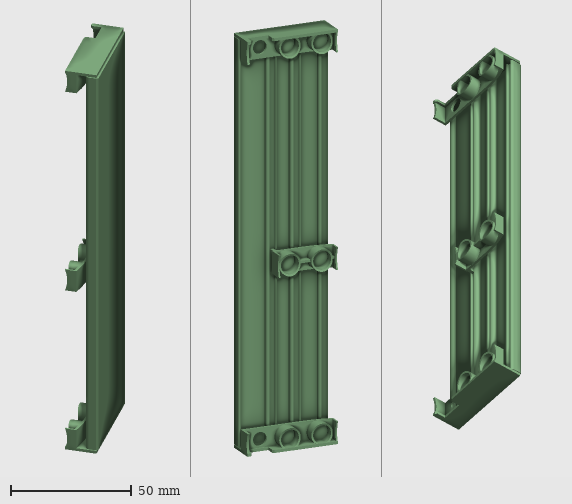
import cadquery as cq
import math

LENGTH = 181.5
WIDTH = 41.4
DEPTH = 14.3

BRACKET_HEIGHT = 10.0
FLOOR_BACK = 6.7
FLOOR_THICKNESS = 1.0
FLOOR_FRONT = FLOOR_BACK - FLOOR_THICKNESS
BEND_START = 13.6
BEND_RISE = 1.8
SIDE_WALL = 0.7
END_FAR_WALL = 1.0
SEAT_DEPTH = 0.9

AXIS_HEIGHT = BRACKET_HEIGHT / 2
BOSS_CENTRES = (6.9, 21.6)
BOSS_DIAMETER = 9.8
BORE_DIAMETER = 8.2

PLATE = 1.3
PLATE_DEPTH = 13.6
NOTCH_DEPTH = 4.7
NOTCH_LOW = 29.8
NOTCH_HIGH = 39.2
NOTCH_LEAD = 0.7
HOLE_DIAMETER = 6.2
HOLE_Y = 33.2

MIDDLE_Z = 76.2
MIDDLE_WIDTH = 27.0
RIB = 1.0
RIB_FRONT = 2.0
LEG_HALF_WIDTH = 0.7
LEG_TIP = 9.5
LEG_FLARE = 0.4
LEG_FLARE_LENGTH = 0.9
BACK_RIB_LENGTH = 5.5

END_GAP = 0.4
RAIL_START = PLATE + END_GAP
RAIL_LENGTH = LENGTH - 2 * RAIL_START
WEB_FRONT = 10.9
GROOVE_CENTRES = (2.0, 14.9, 26.0)
GROOVE_DIAMETER = 2.7
GROOVE_X = 9.0
HIGH_LIP_FRONT = 8.5
HIGH_LIP_WIDTH = 2.5
HIGH_LIP_ROUND = 1.8
LOW_LIP_FRONT = 9.0
LOW_LIP_WIDTH = 2.7
LOW_LIP_ROUND = 0.9
FAR_LIP_WIDTH = 1.6
FAR_LIP_ROUND = 1.5
BACK_BEVEL_DEPTH = 0.9
BACK_BEVEL_SIDE = 0.4


def box(x_range, y_range, z_range):
    """A box given by its low and high position on each axis."""
    sizes = [high - low for low, high in (x_range, y_range, z_range)]
    corner = (x_range[0], y_range[0], z_range[0])
    return cq.Workplane("XY").box(*sizes, centered=False).translate(corner)


def x_cylinder(diameter, y):
    """A cylinder along X through the full depth, at the height of the boss axes."""
    return cq.Workplane("YZ", origin=(0, y, AXIS_HEIGHT)).circle(diameter / 2).extrude(DEPTH)




def make_ridge(centre):
    """One ridge: a high lip on the low-Y side, a low lip beyond, and a screw groove between them."""
    z_range = (RAIL_START, RAIL_START + RAIL_LENGTH)
    near_edge = max(centre - HIGH_LIP_WIDTH, 0)
    high_lip = box((HIGH_LIP_FRONT, WEB_FRONT), (near_edge, centre), z_range)
    high_lip = high_lip.edges("|Z and <X and <Y").fillet(HIGH_LIP_ROUND)
    low_lip = box((LOW_LIP_FRONT, WEB_FRONT), (centre, centre + LOW_LIP_WIDTH), z_range)
    low_lip = low_lip.edges("|Z and <X and >Y").fillet(LOW_LIP_ROUND)
    groove = (
        cq.Workplane("XY", origin=(GROOVE_X, centre, RAIL_START))
        .circle(GROOVE_DIAMETER / 2)
        .extrude(RAIL_LENGTH)
    )
    return high_lip.union(low_lip).cut(groove)


def make_rail():
    """The extruded rail."""
    z_range = (RAIL_START, RAIL_START + RAIL_LENGTH)
    web = (
        cq.Workplane("XY", origin=(0, 0, RAIL_START))
        .moveTo(WEB_FRONT, 0)
        .lineTo(DEPTH - BACK_BEVEL_DEPTH, 0)
        .lineTo(DEPTH, BACK_BEVEL_SIDE)
        .lineTo(DEPTH, WIDTH - BACK_BEVEL_SIDE)
        .lineTo(DEPTH - BACK_BEVEL_DEPTH, WIDTH)
        .lineTo(WEB_FRONT, WIDTH)
        .close()
        .extrude(RAIL_LENGTH)
    )
    far_lip = box((LOW_LIP_FRONT, WEB_FRONT), (WIDTH - FAR_LIP_WIDTH, WIDTH), z_range)
    rail = web.union(far_lip.edges("|Z and <X and <Y").fillet(FAR_LIP_ROUND))
    for centre in GROOVE_CENTRES:
        rail = rail.union(make_ridge(centre))
    return rail




def make_floor(width):
    """The floor plate: flat, then bending forward along an arc to y = 0."""
    radius = (BEND_START**2 + BEND_RISE**2) / (2 * BEND_RISE)
    half_angle = math.asin(BEND_START / radius) / 2
    mid_y = BEND_START - radius * math.sin(half_angle)
    mid_rise = radius * (1 - math.cos(half_angle))
    return (
        cq.Workplane("XY")
        .moveTo(FLOOR_FRONT, width)
        .lineTo(FLOOR_FRONT, BEND_START)
        .threePointArc((FLOOR_FRONT - mid_rise, mid_y), (FLOOR_FRONT - BEND_RISE, 0))
        .lineTo(FLOOR_BACK - BEND_RISE, 0)
        .threePointArc((FLOOR_BACK - mid_rise, mid_y), (FLOOR_BACK, BEND_START))
        .lineTo(FLOOR_BACK, width)
        .close()
        .extrude(BRACKET_HEIGHT)
    )


def make_seat():
    """The cylinder along Y that hollows the front of the walls and bosses."""
    half_chord = BRACKET_HEIGHT / 2
    radius = (half_chord**2 + SEAT_DEPTH**2) / (2 * SEAT_DEPTH)
    axis_point = (SEAT_DEPTH - radius, 0, AXIS_HEIGHT)
    return cq.Workplane("XZ", origin=axis_point).circle(radius).extrude(-WIDTH)


def make_front_rib():
    """A thin rib along the boss axes, standing in front of the floor."""
    z_range = (AXIS_HEIGHT - RIB / 2, AXIS_HEIGHT + RIB / 2)
    return box((RIB_FRONT, FLOOR_BACK), (0, BOSS_CENTRES[1]), z_range)


def make_shell(width, far_wall, has_rib):
    """Floor, side walls and bosses, with the concave front and bores cut."""
    floor = make_floor(width)
    z_range = (0, BRACKET_HEIGHT)
    raised = box((0, FLOOR_BACK), (0, SIDE_WALL), z_range)
    raised = raised.union(box((0, FLOOR_BACK), (width - far_wall, width), z_range))
    bores = cq.Workplane("XY")
    for y in BOSS_CENTRES:
        raised = raised.union(x_cylinder(BOSS_DIAMETER, y))
        bores = bores.add(x_cylinder(BORE_DIAMETER, y))
    bores = bores.combine()
    if has_rib:
        raised = raised.union(make_front_rib())
    raised = raised.cut(bores).cut(floor)
    space_in_front = box((0, DEPTH), (0, width), z_range).cut(floor).solids("<X")
    return floor.union(raised.intersect(space_in_front)).cut(make_seat())




def make_end_bracket():
    """Lower end bracket: the full-width shell standing on a notched end plate."""
    plate = box((0, PLATE_DEPTH), (0, WIDTH), (0, PLATE))
    notch = (
        cq.Workplane("XY")
        .moveTo(0, NOTCH_LOW - NOTCH_LEAD)
        .lineTo(NOTCH_LEAD, NOTCH_LOW)
        .lineTo(NOTCH_DEPTH, NOTCH_LOW)
        .lineTo(NOTCH_DEPTH, NOTCH_HIGH)
        .lineTo(NOTCH_LEAD, NOTCH_HIGH)
        .lineTo(0, NOTCH_HIGH + NOTCH_LEAD)
        .close()
        .extrude(PLATE)
    )
    shell = make_shell(WIDTH, END_FAR_WALL, has_rib=False).cut(x_cylinder(HOLE_DIAMETER, HOLE_Y))
    return shell.cut(plate).union(plate.cut(notch))


def make_clip():
    """Clip leg behind the floor, flared at its root and stiffened by a rib on its low-Y side."""
    centre = GROOVE_CENTRES[-1]
    low = centre - LEG_HALF_WIDTH
    high = centre + LEG_HALF_WIDTH
    leg = (
        cq.Workplane("XY")
        .moveTo(FLOOR_BACK, low - LEG_FLARE)
        .lineTo(FLOOR_BACK + LEG_FLARE_LENGTH, low)
        .lineTo(LEG_TIP, low)
        .lineTo(LEG_TIP, high)
        .lineTo(FLOOR_BACK, high)
        .close()
        .extrude(BRACKET_HEIGHT)
    )
    z_range = (AXIS_HEIGHT - RIB / 2, AXIS_HEIGHT + RIB / 2)
    return leg.union(box((FLOOR_BACK, HIGH_LIP_FRONT), (low - BACK_RIB_LENGTH, low), z_range))


def make_middle_bracket():
    """Middle bracket: the short shell with its clip."""
    bracket = make_shell(MIDDLE_WIDTH, SIDE_WALL, has_rib=True).union(make_clip())
    return bracket.translate((0, 0, MIDDLE_Z))


rail = make_rail()
lower_bracket = make_end_bracket()
upper_bracket = lower_bracket.mirror("XY").translate((0, 0, LENGTH))
middle_bracket = make_middle_bracket()

result = cq.Compound.makeCompound(
    [rail.val(), lower_bracket.val(), upper_bracket.val(), middle_bracket.val()]
)